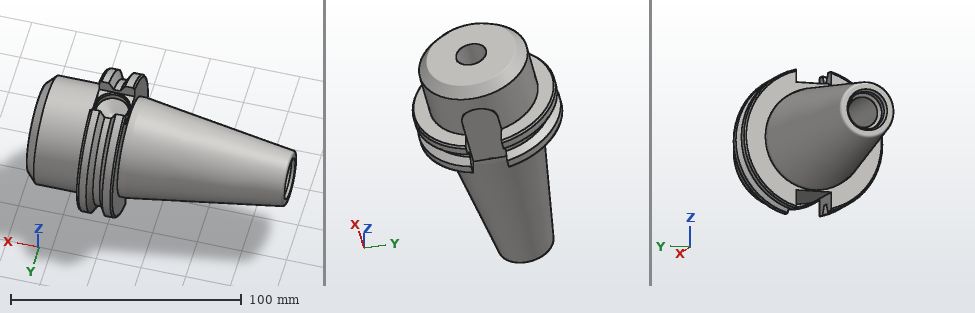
import cadquery as cq
import math

overall_length = 112.7

taper_length = 68.3
gauge_diameter = 44.4
taper_ratio = 7 / 24
small_end_diameter = gauge_diameter - taper_ratio * taper_length
small_end_round = 1.1
gauge_land_length = 3.2

flange_start = taper_length + gauge_land_length
flange_width = 15.9
flange_end = flange_start + flange_width
flange_middle = flange_start + flange_width / 2
flange_diameter = 63.5
flange_front_chamfer = 0.8
flange_back_chamfer = 1.0
flange_back_chamfer_depth = 0.7

groove_floor_diameter = 56.0
groove_floor_width = 2.9
groove_flank_angle = 30
groove_depth = (flange_diameter - groove_floor_diameter) / 2
groove_mouth_width = groove_floor_width + 2 * groove_depth * math.tan(math.radians(groove_flank_angle))

nose_diameter = 48.2
nose_chamfer = 4.3
nose_rim_round = 0.5

slot_width = 15.9
upper_slot_floor = 25.0
lower_slot_floor = 22.7
lower_slot_end = 102.1

pocket_diameter = 14.3
pocket_chamfer = 0.6
pocket_wall_depth = 3.0
drill_point_angle = 120

bore_diameter = 13.4
mouth_diameter = 18.3
mouth_length = 1.5
counterbore_diameter = 16.5
counterbore_end = 4.7
shoulder_length = 1.4


def revolve_about_x(outline):
    return outline.close().revolve(360, (0, 0, 0), (1, 0, 0))


def make_blank():
    """Solid of revolution with the shank, the grooved flange and the nose."""
    flange_radius = flange_diameter / 2
    groove_radius = groove_floor_diameter / 2
    nose_radius = nose_diameter / 2
    outline = (
        cq.Workplane("XY")
        .lineTo(0, small_end_diameter / 2)
        .lineTo(taper_length, gauge_diameter / 2)
        .lineTo(flange_start, gauge_diameter / 2)
        .lineTo(flange_start, flange_radius - flange_front_chamfer)
        .lineTo(flange_start + flange_front_chamfer, flange_radius)
        .lineTo(flange_middle - groove_mouth_width / 2, flange_radius)
        .lineTo(flange_middle - groove_floor_width / 2, groove_radius)
        .lineTo(flange_middle + groove_floor_width / 2, groove_radius)
        .lineTo(flange_middle + groove_mouth_width / 2, flange_radius)
        .lineTo(flange_end - flange_back_chamfer, flange_radius)
        .lineTo(flange_end, flange_radius - flange_back_chamfer_depth)
        .lineTo(flange_end, nose_radius)
        .lineTo(overall_length - nose_chamfer, nose_radius)
        .lineTo(overall_length, nose_radius - nose_chamfer)
        .lineTo(overall_length, 0)
    )
    blank = revolve_about_x(outline)
    blank = blank.faces("<X").edges().fillet(small_end_round)
    return blank.faces(">X").edges().fillet(nose_rim_round)


def make_bore():
    """Through bore with a counterbore and a conical mouth at the small end."""
    outline = (
        cq.Workplane("XY")
        .lineTo(0, mouth_diameter / 2)
        .lineTo(mouth_length, counterbore_diameter / 2)
        .lineTo(counterbore_end, counterbore_diameter / 2)
        .lineTo(counterbore_end + shoulder_length, bore_diameter / 2)
        .lineTo(overall_length, bore_diameter / 2)
        .lineTo(overall_length, 0)
    )
    return revolve_about_x(outline)


def make_upper_slot():
    """Straight slot through the width of the flange."""
    return cq.Workplane("XY").box(
        flange_width, slot_width, flange_diameter, centered=(False, True, False)
    ).translate((flange_start, 0, upper_slot_floor))


def make_lower_slot():
    """Slot through the flange that runs out in the nose with a round end."""
    end_centre = lower_slot_end - slot_width / 2
    return (
        cq.Workplane("XY", origin=(0, 0, -lower_slot_floor))
        .moveTo(flange_start, -slot_width / 2)
        .lineTo(end_centre, -slot_width / 2)
        .threePointArc((lower_slot_end, 0), (end_centre, slot_width / 2))
        .lineTo(flange_start, slot_width / 2)
        .close()
        .extrude(-flange_diameter)
    )


def make_pocket():
    """Drilled pocket with a chamfered mouth and a conical bottom."""
    radius = pocket_diameter / 2
    point_depth = radius / math.tan(math.radians(drill_point_angle / 2))
    return (
        cq.Workplane("XZ", origin=(flange_middle, 0, upper_slot_floor))
        .lineTo(radius + pocket_chamfer, 0)
        .lineTo(radius, -pocket_chamfer)
        .lineTo(radius, -pocket_wall_depth)
        .lineTo(0, -pocket_wall_depth - point_depth)
        .close()
        .revolve(360, (0, 0, 0), (0, 1, 0))
    )


def make_holder():
    holder = make_blank()
    for cutter in (make_bore(), make_upper_slot(), make_lower_slot(), make_pocket()):
        holder = holder.cut(cutter)
    return holder


holder = make_holder()

result = cq.Compound.makeCompound([holder.val()])